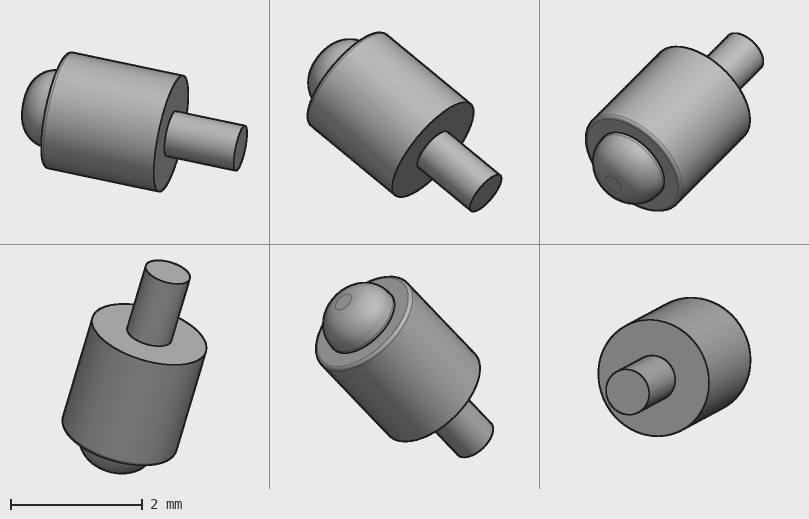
import cadquery as cq

TIP_DIAMETER = 1.2
TIP_LENGTH = 0.5
TIP_ROUNDING = 0.45

BODY_DIAMETER = 1.8
BODY_LENGTH = 1.8
BODY_ROUNDING = 0.05

TAIL_DIAMETER = 0.7
TAIL_LENGTH = 1.1

body_start = TIP_LENGTH
tail_start = body_start + BODY_LENGTH


def cylinder_along_x(start, length, diameter):
    return cq.Workplane("YZ", origin=(start, 0, 0)).circle(diameter / 2).extrude(length)


tip = cylinder_along_x(0, TIP_LENGTH, TIP_DIAMETER).faces("<X").edges().fillet(TIP_ROUNDING)
body = cylinder_along_x(body_start, BODY_LENGTH, BODY_DIAMETER).faces("<X").edges().fillet(BODY_ROUNDING)
tail = cylinder_along_x(tail_start, TAIL_LENGTH, TAIL_DIAMETER)

result = body.union(tip).union(tail)